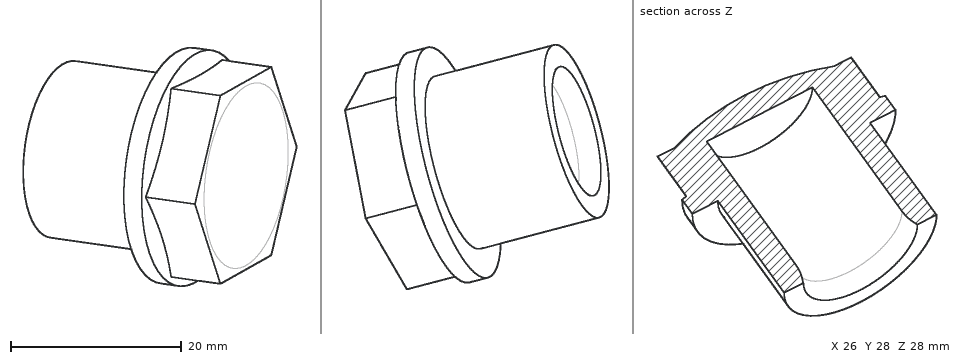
import cadquery as cq
import math

overall_length = 26.0
shank_length = 15.0
flange_rim_width = 2.35
dome_height = 2.0
head_end = overall_length - dome_height

shank_diameter = 21.0
flange_diameter = 28.0
dome_diameter = 22.0
hex_across_flats = 23.07
hex_across_corners = hex_across_flats / math.cos(math.radians(30))
flange_slope = 15.0

bore_diameter = 14.5
mouth_diameter = 15.68
mouth_depth = 2.58
end_wall = (shank_diameter - bore_diameter) / 2
bore_depth = overall_length - end_wall


def revolve_about_x(profile):
    """Close a profile drawn in (X, radius) and revolve it about the X axis."""
    return profile.close().revolve(360, (0, 0, 0), (1, 0, 0))


def make_shank_and_flange():
    shank_radius = shank_diameter / 2
    flange_radius = flange_diameter / 2
    rim_end = shank_length + flange_rim_width
    cone_length = (flange_radius - shank_radius) * math.tan(math.radians(flange_slope))
    profile = (
        cq.Workplane("XY")
        .lineTo(0, shank_radius)
        .lineTo(shank_length, shank_radius)
        .lineTo(shank_length, flange_radius)
        .lineTo(rim_end, flange_radius)
        .lineTo(rim_end + cone_length, shank_radius)
        .lineTo(rim_end + cone_length, 0)
    )
    return revolve_about_x(profile)


def make_hex_head():
    return (
        cq.Workplane("YZ", origin=(shank_length, 0, 0))
        .polygon(6, hex_across_corners)
        .extrude(head_end - shank_length)
    )


def make_dome():
    edge_radius = dome_diameter / 2
    sphere_radius = (edge_radius**2 + dome_height**2) / (2 * dome_height)
    half_angle = math.asin(edge_radius / sphere_radius) / 2
    arc_middle = (
        overall_length - sphere_radius * (1 - math.cos(half_angle)),
        sphere_radius * math.sin(half_angle),
    )
    profile = (
        cq.Workplane("XY")
        .moveTo(head_end, 0)
        .lineTo(head_end, edge_radius)
        .threePointArc(arc_middle, (overall_length, 0))
    )
    return revolve_about_x(profile)


def make_bore():
    bore_radius = bore_diameter / 2
    profile = (
        cq.Workplane("XY")
        .lineTo(bore_depth, 0)
        .lineTo(bore_depth, bore_radius)
        .lineTo(mouth_depth, bore_radius)
        .tangentArcPoint((0, mouth_diameter / 2), relative=False)
    )
    return revolve_about_x(profile)


result = make_shank_and_flange().union(make_hex_head()).union(make_dome()).cut(make_bore())